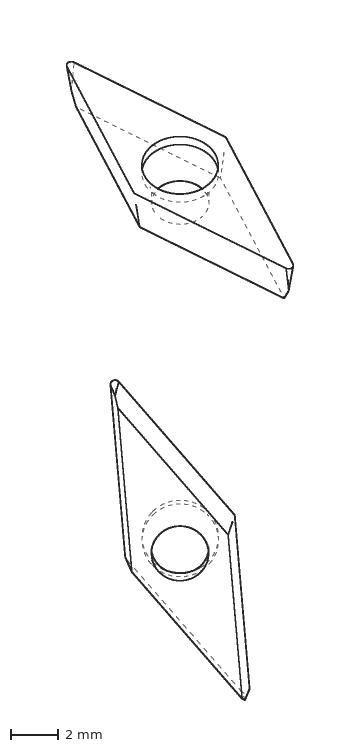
import cadquery as cq
import math

inscribed_diameter = 4.76
thickness = 2.38
tip_angle = 35.0
relief_angle = 7.0
nose_radius = 0.2

seat_diameter = 3.22
bore_diameter = 2.41
seat_rim_depth = 0.51
seat_bottom_depth = 1.62

half_tip = math.radians(tip_angle) / 2
relief_slope = math.tan(math.radians(relief_angle))
nose_depth = nose_radius / relief_slope


def rhombus_points(inscribed_radius):
    """Corners of the sharp rhombus, with two sides parallel to X."""
    tip_x = inscribed_radius / math.tan(half_tip)
    blunt_x = inscribed_radius * math.tan(half_tip)
    return [
        (tip_x, inscribed_radius),
        (-blunt_x, inscribed_radius),
        (-tip_x, -inscribed_radius),
        (blunt_x, -inscribed_radius),
    ]


def make_sharp_body():
    """Tapered rhombic block with sharp corners and clearance on all flanks."""
    return (
        cq.Workplane("XY")
        .workplane(offset=thickness)
        .polyline(rhombus_points(inscribed_diameter / 2))
        .close()
        .extrude(-thickness, taper=relief_angle)
    )


def planar_face(*vertices):
    """Flat face bounded by straight edges through the given vertices."""
    return cq.Face.makeFromWires(cq.Wire.makePolygon(list(vertices), close=True))


def round_corner(body, half_angle, direction):
    """Replace one sharp corner of the body with a conical nose.

    The corner has the given half angle and points along `direction`.  A kite-shaped
    pyramid holding the corner is removed and a cone tangent to both flanks fills it.
    The cone shrinks to a point where the clearance has used up the nose radius, so
    the corner edge below that point stays sharp.
    """
    center_distance = (inscribed_diameter / 2 - nose_radius) / math.sin(half_angle)
    sharp_distance = inscribed_diameter / 2 / math.sin(half_angle)
    tangent_x = center_distance + nose_radius * math.sin(half_angle)
    tangent_y = nose_radius * math.cos(half_angle)
    rim = [
        (center_distance, 0),
        (tangent_x, -tangent_y),
        (sharp_distance, 0),
        (tangent_x, tangent_y),
    ]
    corners = [cq.Vector(x, y, thickness) for x, y in rim]
    apex = cq.Vector(center_distance, 0, thickness - nose_depth)

    faces = [planar_face(*corners)]
    for start, end in zip(corners, corners[1:] + corners[:1]):
        faces.append(planar_face(start, end, apex))
    kite = cq.Solid.makeSolid(cq.Shell.makeShell(faces))
    cone = cq.Solid.makeCone(0, nose_radius, nose_depth, apex, cq.Vector(0, 0, 1))

    turn = (cq.Vector(0, 0, 0), cq.Vector(0, 0, 1), math.degrees(direction))
    trimmed = body.cut(cq.Workplane(obj=kite.rotate(*turn)))
    return trimmed.union(cq.Workplane(obj=cone.rotate(*turn)))


def make_screw_hole():
    """Revolved hole whose flared seat runs tangent into the bore."""
    seat_radius = seat_diameter / 2
    bore_radius = bore_diameter / 2
    rim_z = thickness - seat_rim_depth
    bore_z = thickness - seat_bottom_depth
    flare_width = seat_radius - bore_radius
    flare_height = rim_z - bore_z
    flare_radius = (flare_width**2 + flare_height**2) / (2 * flare_width)
    half_sweep = math.atan2(flare_width, flare_height)
    flare_middle = (
        bore_radius + flare_radius * (1 - math.cos(half_sweep)),
        bore_z + flare_radius * math.sin(half_sweep),
    )
    return (
        cq.Workplane("XZ")
        .moveTo(0, 0)
        .lineTo(bore_radius, 0)
        .lineTo(bore_radius, bore_z)
        .threePointArc(flare_middle, (seat_radius, rim_z))
        .lineTo(seat_radius, thickness)
        .lineTo(0, thickness)
        .close()
        .revolve(360, (0, 0, 0), (0, 1, 0))
    )


quarter_turn = math.pi / 2
half_blunt = quarter_turn - half_tip
result = make_sharp_body()
for side in (0, math.pi):
    result = round_corner(result, half_tip, half_tip + side)
    result = round_corner(result, half_blunt, half_tip + quarter_turn + side)
result = result.cut(make_screw_hole())